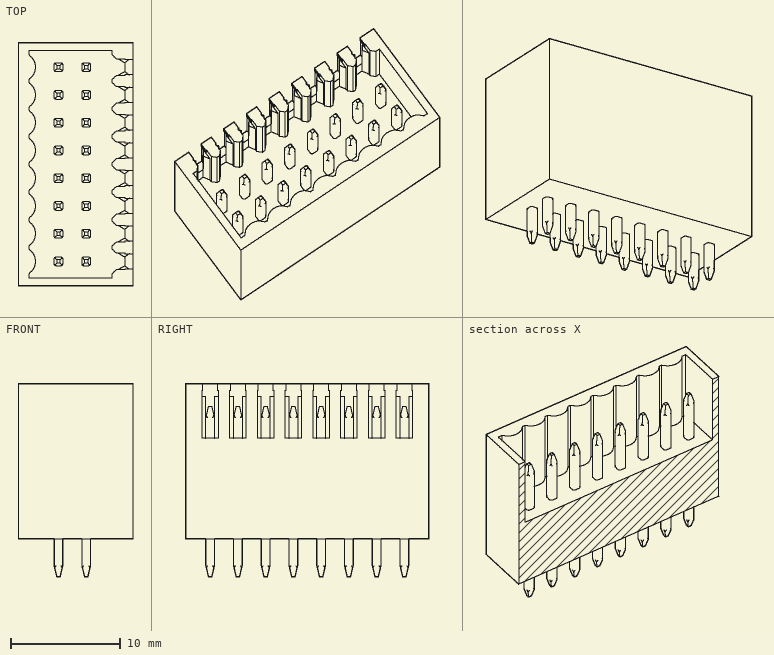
import cadquery as cq

length = 22.28
width = 10.5
housing_height = 14.21
cavity_depth = 7.17
end_wall = 0.71
floor_z = housing_height - cavity_depth

rows = 8
pitch = 2.55
row_places = [pitch * (i - (rows - 1) / 2) for i in range(rows)]
first_column = -1.58
column_places = [first_column, first_column + pitch]

scallop_wall = 0.95
groove_half = 0.13
flank = 0.38
bulge_half = pitch / 2 - groove_half - flank
bulge_rise = 0.22

tooth_length = 1.92
tooth_half = groove_half + flank
lip_reach = 0.75
lip_rise = 0.07
lip_height = 0.65
sill_height = 2.18

ridge_start = 1.35
ridge_end = 0.31
ridge_rise = 0.35
ridge_drop = 1.15

pin_size = 0.8
pin_corner = 0.2
pin_tip = 0.31
pin_taper = 1.02
pin_recess = 2.1
pin_top = housing_height - pin_recess
pin_bottom = -3.48

inner_left = -width / 2 + scallop_wall
outer_face = width / 2
comb_length = pitch * rows
tooth_nose = outer_face - tooth_length
inner_end = length / 2 - end_wall


def make_cavity():
    """Hollow with a scalloped -X side, opened through the +X wall where the comb stands."""
    outline = cq.Workplane("XY").workplane(offset=floor_z).moveTo(inner_left, -inner_end)
    crown = inner_left + flank
    for y in row_places:
        outline = (
            outline.lineTo(inner_left, y - bulge_half - flank)
            .lineTo(crown, y - bulge_half)
            .threePointArc((crown + bulge_rise, y), (crown, y + bulge_half))
            .lineTo(inner_left, y + bulge_half + flank)
        )
    outline = outline.lineTo(inner_left, inner_end).lineTo(tooth_nose, inner_end)
    cavity = outline.lineTo(tooth_nose, -inner_end).close().extrude(cavity_depth)
    slot_zone = (
        cq.Workplane("XY").workplane(offset=floor_z)
        .center(outer_face - tooth_length / 2, 0)
        .rect(tooth_length, comb_length).extrude(cavity_depth)
    )
    return cavity.union(slot_zone)


def make_tooth(y):
    """One comb tooth with a wider lip at the top and a latch ridge on each side."""
    shoulder = tooth_nose + flank
    body = (
        cq.Workplane("XY").workplane(offset=floor_z)
        .polyline([
            (outer_face, y - tooth_half),
            (shoulder, y - tooth_half),
            (tooth_nose, y - groove_half),
            (tooth_nose, y + groove_half),
            (shoulder, y + tooth_half),
            (outer_face, y + tooth_half),
        ]).close().extrude(cavity_depth)
    )
    lip = (
        cq.Workplane("XY").workplane(offset=housing_height - lip_height)
        .center(outer_face - lip_reach / 2, y)
        .rect(lip_reach, 2 * (tooth_half + lip_rise)).extrude(lip_height)
    )
    apex = outer_face - lip_reach
    ridges = (
        cq.Workplane("XY").workplane(offset=floor_z)
        .polyline([
            (outer_face - ridge_start, y - tooth_half),
            (apex, y - tooth_half - ridge_rise),
            (outer_face - ridge_end, y - tooth_half),
            (outer_face - ridge_end, y + tooth_half),
            (apex, y + tooth_half + ridge_rise),
            (outer_face - ridge_start, y + tooth_half),
        ]).close().extrude(cavity_depth - ridge_drop)
    )
    return body.union(lip).union(ridges)


def pin_silhouette(plane):
    """Side outline of a pin, tapered at both ends, as a slab centred on the plane."""
    half = pin_size / 2
    tip = pin_tip / 2
    return (
        cq.Workplane(plane)
        .polyline([
            (-tip, pin_bottom),
            (tip, pin_bottom),
            (half, pin_bottom + pin_taper),
            (half, pin_top - pin_taper),
            (tip, pin_top),
            (-tip, pin_top),
            (-half, pin_top - pin_taper),
            (-half, pin_bottom + pin_taper),
        ]).close().extrude(half, both=True)
    )


def make_pin():
    """Square pin with rounded edges and a tapered tip at each end."""
    shank = (
        cq.Workplane("XY").workplane(offset=pin_bottom)
        .rect(pin_size, pin_size).extrude(pin_top - pin_bottom)
        .edges("|Z").fillet(pin_corner)
    )
    return shank.intersect(pin_silhouette("XZ")).intersect(pin_silhouette("YZ"))


housing = cq.Workplane("XY").box(width, length, housing_height, centered=(True, True, False))
housing = housing.cut(make_cavity())

tooth_places = [pitch * (i - rows / 2) for i in range(rows + 1)]
for tooth_y in tooth_places:
    housing = housing.union(make_tooth(tooth_y))

sill = (
    cq.Workplane("XY").workplane(offset=floor_z)
    .center(outer_face - lip_reach / 2, 0)
    .rect(lip_reach, comb_length).extrude(sill_height)
)
housing = housing.union(sill)

pin = make_pin()
result = housing
for x in column_places:
    for y in row_places:
        result = result.union(pin.translate((x, y, 0)))